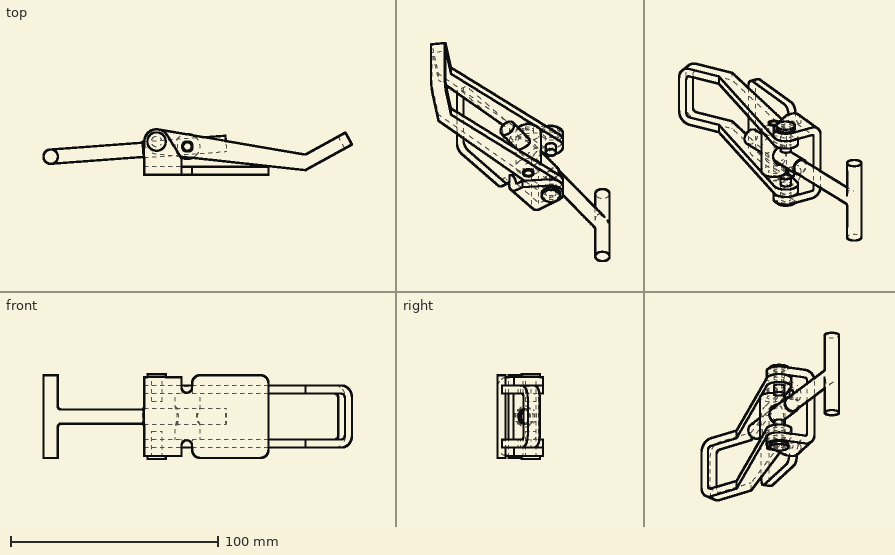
import cadquery as cq
import math

overall_length = 148.9

sheet = 4.0
base_drop = 16.1
base_length = 60.0
base_width = 40.0
base_corner_radius = 4.0
bend_radius = 5.0
ear_radius = 6.0
ear_length = 18.0
ear_shoulder_drop = 8.0
notch_width = 5.0
notch_depth_from_center = 11.5

lever_width = 30.1
lever_kink_x = 71.8
lever_kink_top = -6.3
lever_kink_bottom = -13.8
grip_angle = 28.8
grip_corner_radius = 6.0

rivet_diameter = 5.0
rivet_head_diameter = 9.0
rivet_span = 41.0
rivet_gap = 14.3

trunnion_x = 14.9
trunnion_y = -2.4
trunnion_diameter = 12.0
trunnion_pin_diameter = 5.0
trunnion_pin_chamfer = 0.5
countersink_diameter = 10.3

handle_x = -51.0
handle_y = -7.3
handle_diameter = 7.0
handle_length = 40.0
handle_fillet = 1.5
thread_diameter = 7.7
thread_start = 44.7
screw_length = 84.9

lever_half = lever_width / 2
lever_inner_half = lever_half - sheet
housing_half = lever_half + sheet
grip_end_x = handle_x - handle_diameter / 2 + overall_length
base_left = -ear_radius
ear_right = base_left + ear_length
base_right = base_left + base_length
screw_angle = math.atan2(trunnion_y - handle_y, trunnion_x - handle_x)
trunnion_distance = math.hypot(trunnion_x - handle_x, trunnion_y - handle_y)


def disc(x, y, diameter, z_low, z_high):
    """Round bar along Z."""
    return cq.Workplane("XY", origin=(x, y, z_low)).circle(diameter / 2).extrude(z_high - z_low)


def hub_tangent_point(x, y, side):
    """Point where the line from (x, y) touches the hinge hub; side is +1 for above, -1 for below."""
    angle = math.atan2(y, x) + side * math.acos(ear_radius / math.hypot(x, y))
    return ear_radius * math.cos(angle), ear_radius * math.sin(angle)


def along_screw(distance):
    """Workplane across the screw axis, at a distance from the handle's centre."""
    direction = cq.Vector(math.cos(screw_angle), math.sin(screw_angle), 0)
    origin = cq.Vector(handle_x, handle_y, 0) + direction * distance
    return cq.Workplane(cq.Plane(origin, xDir=(0, 0, 1), normal=direction))


def make_housing():
    channel = (
        cq.Workplane("XY")
        .box(ear_length, base_drop + ear_radius, 2 * housing_half)
        .translate((base_left + ear_length / 2, (ear_radius - base_drop) / 2, 0))
        .edges("|X and <Y")
        .fillet(bend_radius)
    )
    hollow = (
        cq.Workplane("XY")
        .box(ear_length, base_drop + ear_radius, lever_width)
        .translate((base_left + ear_length / 2, (ear_radius - base_drop) / 2 + sheet, 0))
        .edges("|X and <Y")
        .fillet(bend_radius - sheet)
    )
    ear_outline = (
        cq.Workplane("XY", origin=(0, 0, -housing_half))
        .moveTo(base_left, -base_drop)
        .lineTo(ear_right, -base_drop)
        .lineTo(ear_right, -ear_shoulder_drop)
        .lineTo(*hub_tangent_point(ear_right, -ear_shoulder_drop, 1))
        .threePointArc((0, ear_radius), (base_left, 0))
        .close()
        .extrude(2 * housing_half)
    )
    channel = channel.cut(hollow).intersect(ear_outline)

    plate_left = ear_right + notch_width
    plate = (
        cq.Workplane("XZ", origin=(0, -base_drop, 0))
        .center((plate_left + base_right) / 2, 0)
        .rect(base_right - plate_left, base_width)
        .extrude(-sheet)
        .edges("|Y")
        .fillet(base_corner_radius)
    )
    notch_radius = notch_width / 2
    notch_center_z = notch_depth_from_center + notch_radius
    neck = (
        cq.Workplane("XZ", origin=(0, -base_drop, 0))
        .center(ear_right + notch_radius, 0)
        .rect(notch_width, 2 * notch_center_z)
        .extrude(-sheet)
    )
    notches = (
        cq.Workplane("XZ", origin=(0, -base_drop, 0))
        .pushPoints([(ear_right + notch_radius, z) for z in (-notch_center_z, notch_center_z)])
        .circle(notch_radius)
        .extrude(-sheet)
    )
    housing = channel.union(plate).union(neck).cut(notches)
    return housing.cut(disc(0, 0, rivet_diameter, -housing_half, housing_half))


def make_lever():
    rise = math.radians(grip_angle)
    end_low = (
        grip_end_x,
        lever_kink_bottom + (grip_end_x - lever_kink_x) * math.tan(rise),
    )
    reach = (end_low[0] - lever_kink_x) * math.cos(rise) + (end_low[1] - lever_kink_top) * math.sin(rise)
    end_high = (
        lever_kink_x + reach * math.cos(rise),
        lever_kink_top + reach * math.sin(rise),
    )
    body = (
        cq.Workplane("XY", origin=(0, 0, -lever_half))
        .moveTo(*hub_tangent_point(lever_kink_x, lever_kink_top, 1))
        .lineTo(lever_kink_x, lever_kink_top)
        .lineTo(*end_high)
        .lineTo(*end_low)
        .lineTo(lever_kink_x, lever_kink_bottom)
        .lineTo(*hub_tangent_point(lever_kink_x, lever_kink_bottom, -1))
        .threePointArc((-ear_radius, 0), hub_tangent_point(lever_kink_x, lever_kink_top, 1))
        .close()
        .extrude(lever_width)
    )
    grip_plane = cq.Plane(
        (end_high[0], end_high[1], 0),
        xDir=(math.cos(rise), math.sin(rise), 0),
        normal=(0, 0, 1),
    )
    across_grip = cq.Vector(-math.sin(rise), math.cos(rise), 0)
    body = body.edges(cq.selectors.ParallelDirSelector(across_grip)).edges(">X").fillet(grip_corner_radius)

    clearance = 2 * grip_end_x
    space = (
        cq.Workplane(grip_plane)
        .center(-sheet - clearance / 2, 0)
        .box(clearance, clearance, 2 * lever_inner_half)
    )
    space = (
        space.edges(cq.selectors.ParallelDirSelector(across_grip))
        .edges(">X")
        .fillet(grip_corner_radius - sheet)
    )
    lever = body.cut(space)
    lever = lever.cut(disc(0, 0, rivet_diameter, -lever_half, lever_half))
    return lever.cut(disc(trunnion_x, trunnion_y, trunnion_pin_diameter, -lever_half, lever_half))


def make_trunnion():
    barrel = disc(trunnion_x, trunnion_y, trunnion_diameter, -lever_inner_half, lever_inner_half)
    pins = (
        disc(trunnion_x, trunnion_y, trunnion_pin_diameter, -lever_half, lever_half)
        .faces("<Z or >Z")
        .chamfer(trunnion_pin_chamfer)
    )
    trunnion = barrel.union(pins)

    mouth = trunnion_distance - trunnion_diameter / 2
    hole = along_screw(mouth).circle(thread_diameter / 2).extrude(trunnion_diameter)
    hole_axis = along_screw(mouth).plane
    countersink = cq.Workplane(
        cq.Solid.makeCone(
            countersink_diameter / 2,
            0,
            countersink_diameter / 2,
            pnt=hole_axis.origin,
            dir=hole_axis.zDir,
        )
    )
    return trunnion.cut(hole).cut(countersink)


def make_screw():
    handle = disc(handle_x, handle_y, handle_diameter, -handle_length / 2, handle_length / 2)
    shank = along_screw(0).circle(handle_diameter / 2).extrude(thread_start)
    tee = handle.union(shank).edges("%ELLIPSE").fillet(handle_fillet)
    thread = along_screw(thread_start).circle(thread_diameter / 2).extrude(screw_length - thread_start)
    return tee.union(thread)


def make_rivet(side):
    """Rivet through one ear and one lever arm; side is +1 at +Z and -1 at -Z."""
    head = disc(0, 0, rivet_head_diameter, housing_half, rivet_span / 2)
    shank = disc(0, 0, rivet_diameter, rivet_gap / 2, housing_half)
    rivet = head.union(shank)
    return rivet if side > 0 else rivet.mirror("XY")


housing = make_housing()
lever = make_lever()
trunnion = make_trunnion()
screw = make_screw()
rivets = [make_rivet(side) for side in (1, -1)]

result = cq.Compound.makeCompound(
    [housing.val(), lever.val(), trunnion.val(), screw.val(), *[rivet.val() for rivet in rivets]]
)